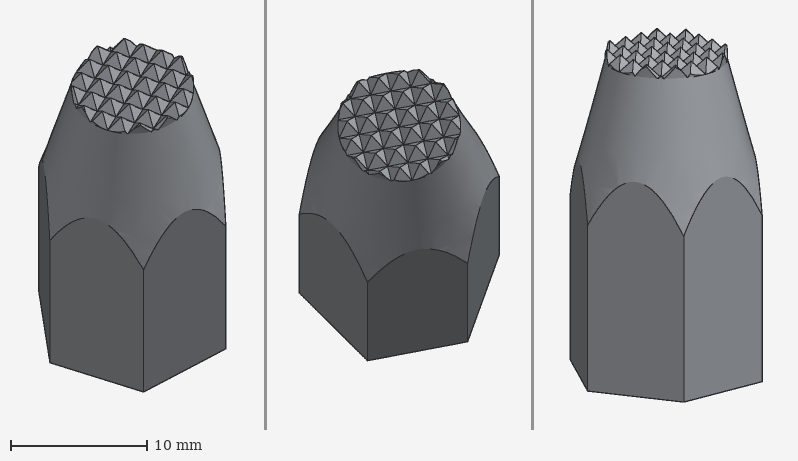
import cadquery as cq
import math

total_height = 25.0
hex_corner_diameter = 15.0

tooth_height = 1.0
tooth_pitch = 1.5
teeth_across = 6

tip_radius = teeth_across * tooth_pitch / 2
nose_half_angle = 15.0

root_height = total_height - tooth_height
cone_base_radius = tip_radius + root_height * math.tan(math.radians(nose_half_angle))


def hex_bar():
    """Full-height hexagonal bar with two corners on the X axis."""
    return cq.Workplane("XY").polygon(6, hex_corner_diameter).extrude(total_height)


def nose_envelope():
    """Cone wider than the bar at the base, narrowing to a straight cylinder around the teeth."""
    profile = (
        cq.Workplane("XZ")
        .lineTo(cone_base_radius, 0)
        .lineTo(tip_radius, root_height)
        .lineTo(tip_radius, total_height)
        .lineTo(0, total_height)
        .close()
    )
    return profile.revolve(360, (0, 0), (0, 1))


def tooth_groove(valley):
    """V-shaped groove along Y with its bottom at X = valley, cut down to the tooth root."""
    half_width = tooth_pitch / 2
    groove = (
        cq.Workplane("XZ")
        .moveTo(valley, root_height)
        .lineTo(valley + half_width, total_height)
        .lineTo(valley - half_width, total_height)
        .close()
    )
    return groove.extrude(hex_corner_diameter / 2, both=True)


result = hex_bar().intersect(nose_envelope())

for index in range(teeth_across + 1):
    groove = tooth_groove((index - teeth_across / 2) * tooth_pitch)
    result = result.cut(groove)
    result = result.cut(groove.rotate((0, 0, 0), (0, 0, 1), 90))